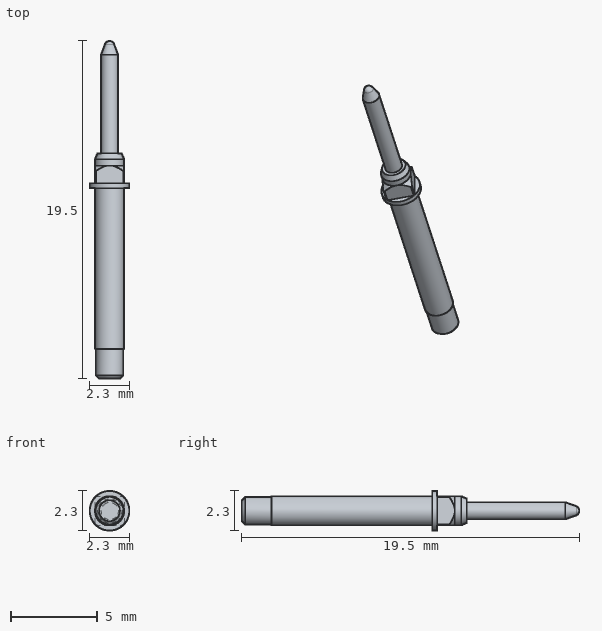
import cadquery as cq
import math

overall_length = 19.5

tail_diameter = 1.6
tail_length = 1.7
tail_chamfer = 0.2
body_diameter = 1.7
body_edge_chamfer = 0.04

flange_diameter = 2.3
flange_start = 11.0
flange_thickness = 0.3
square_width = body_diameter
collar_start = flange_start + flange_thickness
neck_start = 12.3
shoulder_start = 12.68
shoulder_end = 13.0
shoulder_end_diameter = 1.4

plunger_diameter = 1.0
nose_radius = 0.3
tip_half_angle = math.radians(20.0)

tail_y = -overall_length / 2
tip_y = overall_length / 2


def revolve_profile(sketch):
    """Close a profile of (radius, Y) points and revolve it about the Y axis."""
    return sketch.close().revolve(360, (0, 0, 0), (0, 1, 0))


def make_body():
    """Chamfered tail, round body, neck and shoulder cone."""
    tail_radius = tail_diameter / 2
    body_radius = body_diameter / 2
    body_y = tail_y + tail_length
    return revolve_profile(
        cq.Workplane("XY")
        .moveTo(0, tail_y)
        .lineTo(tail_radius - tail_chamfer, tail_y)
        .lineTo(tail_radius, tail_y + tail_chamfer)
        .lineTo(tail_radius, body_y)
        .lineTo(body_radius - body_edge_chamfer, body_y)
        .lineTo(body_radius, body_y + body_edge_chamfer)
        .lineTo(body_radius, tail_y + shoulder_start)
        .lineTo(shoulder_end_diameter / 2, tail_y + shoulder_end)
        .lineTo(0, tail_y + shoulder_end)
    )


def make_flange():
    """Thin round stop flange."""
    flange_radius = flange_diameter / 2
    return revolve_profile(
        cq.Workplane("XY")
        .moveTo(0, tail_y + flange_start)
        .lineTo(flange_radius, tail_y + flange_start)
        .lineTo(flange_radius, tail_y + collar_start)
        .lineTo(0, tail_y + collar_start)
    )


def make_square_collar():
    """Square collar whose corners are turned to the flange diameter and bevelled at 45 degrees."""
    corner_radius = flange_diameter / 2
    neck_radius = body_diameter / 2
    bevel_length = corner_radius - neck_radius
    collar_length = neck_start - collar_start
    turned_blank = revolve_profile(
        cq.Workplane("XY")
        .moveTo(0, tail_y + collar_start)
        .lineTo(corner_radius, tail_y + collar_start)
        .lineTo(corner_radius, tail_y + neck_start - bevel_length)
        .lineTo(neck_radius, tail_y + neck_start)
        .lineTo(0, tail_y + neck_start)
    )
    square_bar = cq.Workplane("XY").box(square_width, collar_length, square_width).translate(
        (0, tail_y + collar_start + collar_length / 2, 0)
    )
    return turned_blank.intersect(square_bar)


def make_plunger():
    """Slim plunger with a cone running tangent into the spherical nose."""
    plunger_radius = plunger_diameter / 2
    nose_center_y = tip_y - nose_radius
    tangent_radius = nose_radius * math.cos(tip_half_angle)
    tangent_y = nose_center_y + nose_radius * math.sin(tip_half_angle)
    cone_length = (plunger_radius - tangent_radius) / math.tan(tip_half_angle)
    arc_mid_angle = (math.pi / 2 + tip_half_angle) / 2
    arc_mid = (
        nose_radius * math.cos(arc_mid_angle),
        nose_center_y + nose_radius * math.sin(arc_mid_angle),
    )
    return revolve_profile(
        cq.Workplane("XY")
        .moveTo(0, tail_y + shoulder_start)
        .lineTo(plunger_radius, tail_y + shoulder_start)
        .lineTo(plunger_radius, tangent_y - cone_length)
        .lineTo(tangent_radius, tangent_y)
        .threePointArc(arc_mid, (0, tip_y))
    )


result = make_body().union(make_flange()).union(make_square_collar()).union(make_plunger())